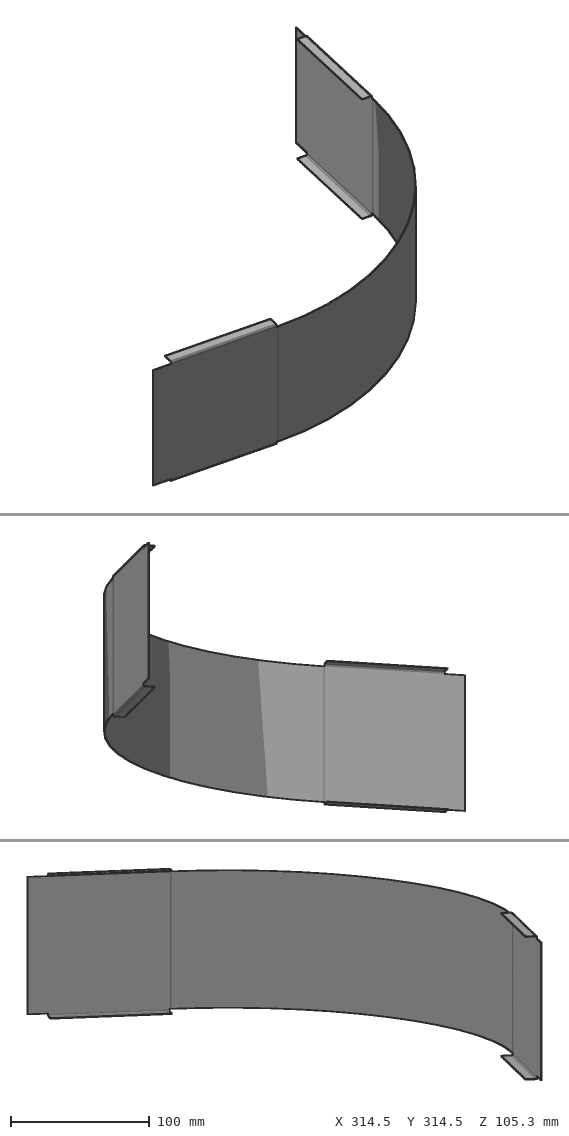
import cadquery as cq
import math

side = 314.5
overall_height = 105.3
wall_height = 101.0
sheet = 0.6
straight_length = 105.0
flange_length = 89.3
flange_inset = 15.0
flange_depth = 8.8
bend_radius = 1.5

half_side = side / 2
half_wall = wall_height / 2
half_height = overall_height / 2
arc_radius = side - straight_length
arc_start = straight_length - half_side
flange_start = flange_inset - half_side
bend_inner_radius = bend_radius - sheet
diagonal = math.sqrt(0.5)


def curved_wall():
    """Quarter-circle sheet with a tangent flat stretch at each end."""
    inner_face = half_side - sheet
    inner_radius = arc_radius - sheet
    return (
        cq.Workplane("XY")
        .workplane(offset=-half_wall)
        .moveTo(-half_side, half_side)
        .lineTo(arc_start, half_side)
        .threePointArc(
            (arc_start + arc_radius * diagonal, arc_start + arc_radius * diagonal),
            (half_side, arc_start),
        )
        .lineTo(half_side, -half_side)
        .lineTo(inner_face, -half_side)
        .lineTo(inner_face, arc_start)
        .threePointArc(
            (arc_start + inner_radius * diagonal, arc_start + inner_radius * diagonal),
            (arc_start, inner_face),
        )
        .lineTo(-half_side, inner_face)
        .close()
        .extrude(wall_height)
    )


def upper_flange():
    """Flange bent inwards from the top edge of the flat stretch along X."""
    bend_y = half_side - bend_radius
    bend_z = half_height - bend_radius
    tip_y = half_side - flange_depth
    root_z = half_wall - sheet
    return (
        cq.Workplane("YZ")
        .workplane(offset=flange_start)
        .moveTo(half_side, root_z)
        .lineTo(half_side, bend_z)
        .threePointArc(
            (bend_y + bend_radius * diagonal, bend_z + bend_radius * diagonal),
            (bend_y, half_height),
        )
        .lineTo(tip_y, half_height)
        .lineTo(tip_y, half_height - sheet)
        .lineTo(bend_y, half_height - sheet)
        .threePointArc(
            (bend_y + bend_inner_radius * diagonal, bend_z + bend_inner_radius * diagonal),
            (half_side - sheet, bend_z),
        )
        .lineTo(half_side - sheet, root_z)
        .close()
        .extrude(flange_length)
    )


top_flange = upper_flange()
end_flanges = top_flange.union(top_flange.mirror("XY"))
other_end_flanges = end_flanges.mirror("YZ").rotate((0, 0, 0), (0, 0, 1), -90)

result = curved_wall().union(end_flanges).union(other_end_flanges)